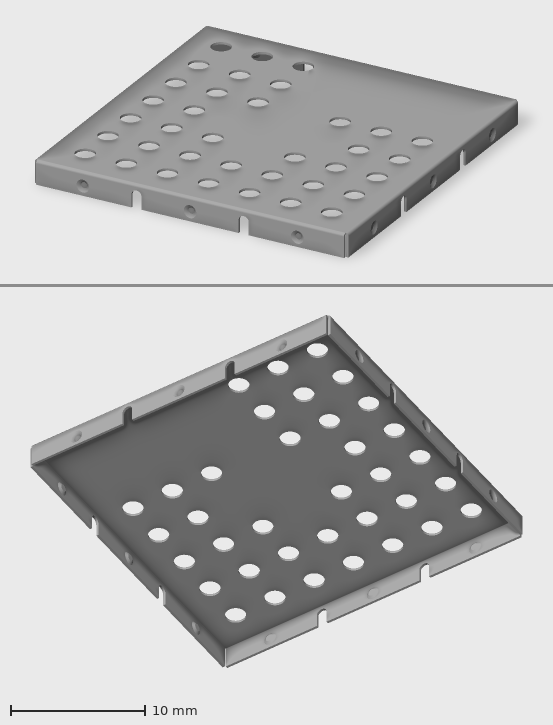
import cadquery as cq

side = 26.67
height = 2.0
thickness = 0.2
bend_radius = 0.25

hole_diameter = 1.6
hole_pitch = 3.5
grid_reach = 3
blank_reach = 1
plain_first_row = 2
plain_first_column = 0

dimple_pitch = 9.12
dimple_height = 0.8
dimple_mouth_diameter = 1.07
dimple_waist_diameter = 0.61
dimple_floor_diameter = 0.5
dimple_waist_depth = 0.15
dimple_depth = 0.21
dimple_backing = 0.13
slot_offset = dimple_pitch / 2
slot_width = 0.85
slot_height = 1.5

half_side = side / 2
wall_angles = (0, 90, 180, 270)


def folded_shell():
    """Box open at the bottom, rounded along the lid edges inside and out."""
    outer = cq.Workplane("XY").box(side, side, height, centered=(True, True, False))
    outer = outer.faces(">Z").edges().fillet(bend_radius)
    inner_side = side - 2 * thickness
    inner = cq.Workplane("XY").box(
        inner_side, inner_side, height - thickness, centered=(True, True, False)
    )
    inner = inner.faces(">Z").edges().fillet(bend_radius - thickness)
    return outer.cut(inner)


def corner_reliefs():
    """Square posts that separate neighbouring walls at the four corners."""
    post_spacing = side - bend_radius
    return (
        cq.Workplane("XY")
        .rect(post_spacing, post_spacing, forConstruction=True)
        .vertices()
        .rect(bend_radius, bend_radius)
        .extrude(height)
    )


def vent_holes():
    """Cylinders for every grid position that carries a hole."""
    steps = range(-grid_reach, grid_reach + 1)
    centres = []
    for column in steps:
        for row in steps:
            in_blank_centre = abs(column) + abs(row) <= blank_reach
            in_plain_corner = row >= plain_first_row and column >= plain_first_column
            if not in_blank_centre and not in_plain_corner:
                centres.append((column * hole_pitch, row * hole_pitch))
    return cq.Workplane("XY").pushPoints(centres).circle(hole_diameter / 2).extrude(height)


def wall_slots():
    """Round-topped slots, open at the bottom, through the -Y wall only."""
    slot_radius = slot_width / 2
    shoulder = slot_height - slot_radius
    slot = (
        cq.Workplane("XZ", origin=(0, -half_side + thickness, 0))
        .moveTo(-slot_radius, 0)
        .lineTo(-slot_radius, shoulder)
        .threePointArc((0, slot_height), (slot_radius, shoulder))
        .lineTo(slot_radius, 0)
        .close()
        .extrude(thickness)
    )
    return slot.translate((-slot_offset, 0, 0)).union(slot.translate((slot_offset, 0, 0)))


def dimple_row(solid_of_revolution):
    """Three copies of a dimple body along the -Y wall."""
    row = cq.Workplane("XY")
    for step in (-1, 0, 1):
        row = row.union(solid_of_revolution.translate((step * dimple_pitch, -half_side, dimple_height)))
    return row


def dimple_recess():
    """Recess pressed into the outer face: a cone that steepens towards a flat floor."""
    return (
        cq.Workplane("XY")
        .moveTo(0, 0)
        .lineTo(dimple_mouth_diameter / 2, 0)
        .lineTo(dimple_waist_diameter / 2, dimple_waist_depth)
        .lineTo(dimple_floor_diameter / 2, dimple_depth)
        .lineTo(0, dimple_depth)
        .close()
        .revolve(360, (0, 0, 0), (0, 1, 0))
    )


def dimple_bump():
    """Raised back of a dimple on the inner face of the wall."""
    bump_depth = dimple_depth + dimple_backing
    return (
        cq.Workplane("XY")
        .moveTo(0, thickness)
        .lineTo(dimple_mouth_diameter / 2, thickness)
        .lineTo(dimple_waist_diameter / 2, bump_depth)
        .lineTo(0, bump_depth)
        .close()
        .revolve(360, (0, 0, 0), (0, 1, 0))
    )


result = folded_shell().cut(corner_reliefs()).cut(vent_holes())

bumps = dimple_row(dimple_bump())
openings = wall_slots().union(dimple_row(dimple_recess()))
for angle in wall_angles:
    result = result.union(bumps.rotate((0, 0, 0), (0, 0, 1), angle))
    result = result.cut(openings.rotate((0, 0, 0), (0, 0, 1), angle))